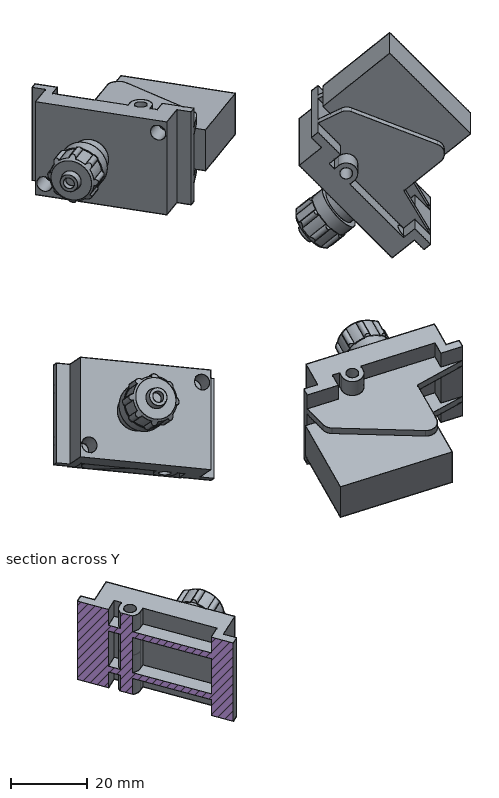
import cadquery as cq
import math


plate_height = 27.0
plate_left = -15.3
plate_right = 21.15
flange_left = -19.0
flange_right = 25.1
flange_front = 7.85
flange_back = 10.15

slot_left = -12.8
slot_right = 16.3
slot_floor = 6.2

hinge_x = 11.25
hinge_y = 7.6
boss_diameter = 6.05
hinge_bore_diameter = 3.3

mount_hole_diameter = 4.2
mount_hole_skin = 0.05
mount_hole_depth = slot_floor - mount_hole_skin
mount_hole_z = 10.0
mount_hole_right = 18.75
mount_hole_left = slot_left
mount_hole_places = [(mount_hole_right, mount_hole_z), (mount_hole_left, -mount_hole_z)]

block_left = -4.7
block_right = 27.05
block_front = 13.6
block_back = 37.05
block_height = 11.9

ear_thickness = 2.15
ear_corner_radius = 3.0
ear_peak_y = 31.2
ear_shoulder_x = 23.1
ear_slope = 25.0

stem_diameter = 10.0
stem_length = 5.0
collar_diameter = 12.85
collar_length = 3.6
grip_diameter = 12.3
grip_length = 6.5
grip_outer_diameter = 14.05
grip_end_diameter = 11.25
grip_start_chamfer = 0.55
rib_count = 8
rib_diameter = 1.85
tip_length = 1.85
tip_root_diameter = 5.5
tip_end_diameter = 4.85
tip_bore_diameter = 3.0


def box(x_min, x_max, y_min, y_max, height):
    """Box centred on Z = 0 between the given X and Y limits."""
    return (
        cq.Workplane("XY")
        .box(x_max - x_min, y_max - y_min, height, centered=(False, False, True))
        .translate((x_min, y_min, 0))
    )


def post(x, y, diameter, height):
    """Cylinder along Z, centred on Z = 0."""
    return cq.Workplane("XY").center(x, y).circle(diameter / 2).extrude(height / 2, both=True)


def rod(start, length, diameter, x=0.0, z=0.0):
    """Cylinder along -Y that starts at Y = -start."""
    plane = cq.Workplane("XZ", origin=(x, -start, z))
    return plane.circle(diameter / 2).extrude(length)


def make_base():
    """Plate with flanges, a slot open at both ends and two blind holes."""
    plate = box(plate_left, plate_right, 0, flange_back, plate_height)
    flanges = box(flange_left, flange_right, flange_front, flange_back, plate_height)
    slot = box(slot_left, slot_right, slot_floor, flange_back, plate_height)
    base = plate.union(flanges).cut(slot)
    for x, z in mount_hole_places:
        base = base.cut(rod(-mount_hole_depth, mount_hole_depth, mount_hole_diameter, x, z))
    return base


def make_hinge_boss():
    """Round-backed boss standing on the slot floor over the full height."""
    radius = boss_diameter / 2
    foot = box(hinge_x - radius, hinge_x + radius, slot_floor, hinge_y, plate_height)
    return foot.union(post(hinge_x, hinge_y, boss_diameter, plate_height))


def make_ear(z_bottom):
    """Flat ear with two rounded corners and a root filling the slot width."""
    shoulder_drop = (ear_shoulder_x - block_left) * math.tan(math.radians(ear_slope))
    blade = (
        cq.Workplane("XY", origin=(0, 0, z_bottom))
        .moveTo(flange_left, flange_back)
        .lineTo(block_left, block_front)
        .lineTo(block_left, ear_peak_y)
        .lineTo(ear_shoulder_x, ear_peak_y - shoulder_drop)
        .lineTo(flange_right, flange_back)
        .close()
        .extrude(ear_thickness)
        .edges("|Z and >Y")
        .fillet(ear_corner_radius)
    )
    shoulder = cq.selectors.NearestToPointSelector(
        (ear_shoulder_x, ear_peak_y - shoulder_drop, z_bottom + ear_thickness / 2)
    )
    blade = blade.edges(shoulder).fillet(ear_corner_radius)
    root = (
        box(slot_left, slot_right, slot_floor, flange_back, ear_thickness)
        .translate((0, 0, z_bottom + ear_thickness / 2))
    )
    return blade.union(root)


def make_grip(start):
    """Ribbed grip, trimmed to a turned outline with chamfered ends."""
    grip = rod(start, grip_length, grip_diameter)
    rib_circle_radius = (grip_outer_diameter - rib_diameter) / 2
    for index in range(rib_count):
        angle = 2 * math.pi * index / rib_count
        x = rib_circle_radius * math.cos(angle)
        z = rib_circle_radius * math.sin(angle)
        grip = grip.union(rod(start, grip_length, rib_diameter, x, z))

    outer_radius = grip_outer_diameter / 2
    end_radius = grip_end_diameter / 2
    end_chamfer = outer_radius - end_radius
    end = start + grip_length
    outline = (
        cq.Workplane("XY")
        .moveTo(0, -start)
        .lineTo(outer_radius - grip_start_chamfer, -start)
        .lineTo(outer_radius, -start - grip_start_chamfer)
        .lineTo(outer_radius, -end + end_chamfer)
        .lineTo(end_radius, -end)
        .lineTo(0, -end)
        .close()
        .revolve(360, (0, 0, 0), (0, 1, 0))
    )
    return grip.intersect(outline)


def make_tip(start):
    """Tapered tip with a bore as deep as the tip is long."""
    tip = (
        cq.Workplane("XZ", origin=(0, -start, 0))
        .circle(tip_root_diameter / 2)
        .workplane(offset=tip_length)
        .circle(tip_end_diameter / 2)
        .loft(combine=True)
    )
    return tip.cut(rod(start, tip_length, tip_bore_diameter))


def make_knob():
    """Stem, collar, grip and tip stacked along -Y from the plate front."""
    collar_start = stem_length
    grip_start = collar_start + collar_length
    tip_start = grip_start + grip_length
    stem = rod(0, stem_length, stem_diameter)
    collar = rod(collar_start, collar_length, collar_diameter)
    return stem.union(collar).union(make_grip(grip_start)).union(make_tip(tip_start))


result = make_base().union(make_hinge_boss())
result = result.union(box(block_left, block_right, block_front, block_back, block_height))
for ear_bottom in (block_height / 2, -block_height / 2 - ear_thickness):
    result = result.union(make_ear(ear_bottom))
result = result.cut(post(hinge_x, hinge_y, hinge_bore_diameter, plate_height))
result = result.union(make_knob())